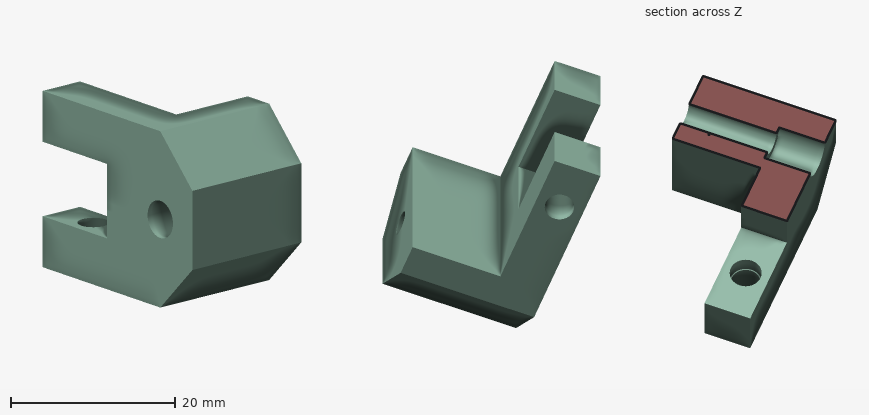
import cadquery as cq

length = 28.0
height = 22.5
plate_thickness = 6.0

slot_length = 12.0
arm_height = 6.5
slot_height = height - 2 * arm_height

corner_length = 6.0
corner_height = 6.2

total_depth = 17.5
block_length = 10.0

cross_hole_x = length - corner_length
cross_hole_z = height / 2
cross_hole_diameter = 2.95
cross_bore_diameter = 4.75
cross_bore_depth = plate_thickness

arm_hole_x = slot_length / 2
arm_hole_y = plate_thickness / 2
arm_hole_diameter = 3.6
arm_bore_diameter = 3.9
arm_bore_depth = 2.0


def l_shaped_body():
    """Plate and rear block as one L-shaped section, raised to full height."""
    block_start = length - block_length
    outline = [
        (0, 0),
        (length, 0),
        (length, total_depth),
        (block_start, total_depth),
        (block_start, plate_thickness),
        (0, plate_thickness),
    ]
    return cq.Workplane("XY").polyline(outline).close().extrude(height)


def slot():
    """Rectangular opening between the two arms."""
    size = (slot_length, plate_thickness, slot_height)
    return cq.Workplane("XY").box(*size, centered=False).translate((0, 0, arm_height))


def corner_wedge(corner_z, inward):
    """Triangular prism removed at a +X corner; inward is +1 or -1 along Z."""
    outline = [
        (length - corner_length, corner_z),
        (length, corner_z),
        (length, corner_z + inward * corner_height),
    ]
    return cq.Workplane("XZ").polyline(outline).close().extrude(-total_depth)


def stepped_hole(start, direction, bore_diameter, bore_depth, hole_diameter, hole_depth):
    """Wide bore and narrower coaxial hole, both cut from the same start point."""
    origin = cq.Vector(*start)
    axis = cq.Vector(*direction)
    bore = cq.Solid.makeCylinder(bore_diameter / 2, bore_depth, origin, axis)
    hole = cq.Solid.makeCylinder(hole_diameter / 2, hole_depth, origin, axis)
    return bore.fuse(hole)


def cross_hole():
    """Hole through plate and block, bored wider from the plate's outer face."""
    start = (cross_hole_x, 0, cross_hole_z)
    return stepped_hole(
        start, (0, 1, 0), cross_bore_diameter, cross_bore_depth, cross_hole_diameter, total_depth
    )


def arm_hole():
    """Hole through the lower arm, bored wider from the slot side."""
    start = (arm_hole_x, arm_hole_y, arm_height)
    return stepped_hole(
        start, (0, 0, -1), arm_bore_diameter, arm_bore_depth, arm_hole_diameter, arm_height
    )


result = (
    l_shaped_body()
    .cut(slot())
    .cut(corner_wedge(0, 1))
    .cut(corner_wedge(height, -1))
    .cut(cross_hole())
    .cut(arm_hole())
)